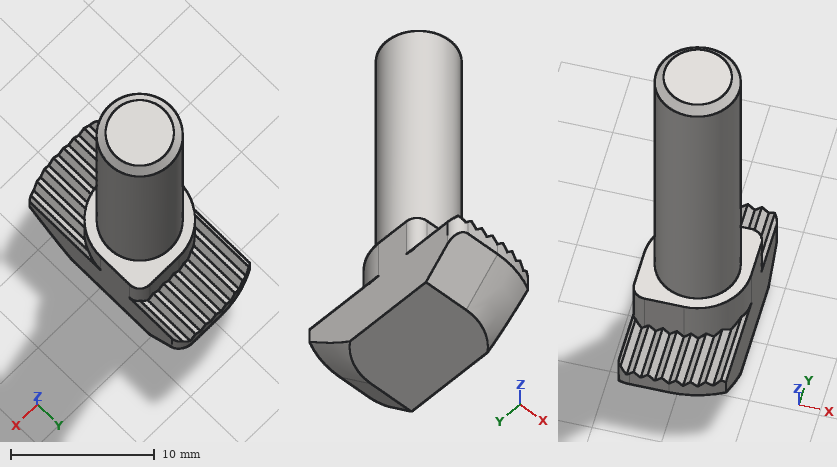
import cadquery as cq

total_height = 29.7
head_width = 7.7
head_length = 16.0
half_width = head_width / 2
half_length = head_length / 2

head_rim_height = 3.2
head_foot_half_length = 4.8
corner_radius = 1.0

tooth_pitch = 1.0
tooth_count = 8
tooth_depth = tooth_pitch / 2
tooth_peak_height = 4.75
tooth_valley_height = tooth_peak_height - tooth_depth

neck_top = 7.78
shank_radius = 3.0
tip_chamfer_radial = 0.62
tip_chamfer_height = 0.55


def both_diagonal_corners(corner):
    """Return the corner together with its copy turned half a turn about Z."""
    return corner.union(corner.rotate((0, 0, 0), (0, 0, 1), 180))


def make_head_blank():
    """Head with two round quarters and two square quarters, tapered underneath."""
    side_profile = [
        (0, 0),
        (head_foot_half_length, 0),
        (half_length, head_rim_height),
        (half_length, tooth_peak_height),
        (0, tooth_peak_height),
    ]
    turned = cq.Workplane("XZ").polyline(side_profile).close().revolve(360, (0, 0, 0), (0, 1, 0))
    slab = cq.Workplane("XY").box(head_width, head_length, tooth_peak_height, centered=(True, True, False))
    square_quarter = cq.Workplane("YZ").polyline(side_profile).close().extrude(half_width)
    corner_rounding = (
        cq.Workplane("XY")
        .rect(half_width, half_length)
        .extrude(tooth_peak_height)
        .translate((half_width / 2, half_length / 2, 0))
        .edges("|Z and >X and >Y")
        .fillet(corner_radius)
    )
    square_quarter = square_quarter.intersect(corner_rounding)
    return turned.intersect(slab).union(both_diagonal_corners(square_quarter))


def make_tooth_grooves():
    """Everything to remove above the zigzag clamping face."""
    zigzag_half_width = tooth_count * tooth_pitch / 2
    zigzag = [(-zigzag_half_width, tooth_valley_height)]
    for tooth in range(tooth_count):
        valley_x = -zigzag_half_width + tooth * tooth_pitch
        zigzag.append((valley_x + tooth_pitch / 2, tooth_peak_height))
        zigzag.append((valley_x + tooth_pitch, tooth_valley_height))
    zigzag += [(zigzag_half_width, neck_top), (-zigzag_half_width, neck_top)]
    return cq.Workplane("XZ").polyline(zigzag).close().extrude(half_length, both=True)


def make_neck():
    """Round neck with two opposite squared corners."""
    neck_height = neck_top - head_rim_height
    base = cq.Workplane("XY").workplane(offset=head_rim_height)
    square_quarter = (
        base.rect(half_width, half_width)
        .extrude(neck_height)
        .translate((half_width / 2, half_width / 2, 0))
        .edges("|Z and >X and >Y")
        .fillet(corner_radius)
    )
    return base.circle(half_width).extrude(neck_height).union(both_diagonal_corners(square_quarter))


def make_shank():
    """Plain shank with a chamfered tip."""
    shank = cq.Workplane("XY").workplane(offset=neck_top).circle(shank_radius).extrude(total_height - neck_top)
    return shank.faces(">Z").chamfer(tip_chamfer_height, tip_chamfer_radial)


head = make_head_blank().cut(make_tooth_grooves())
result = head.union(make_neck()).union(make_shank())